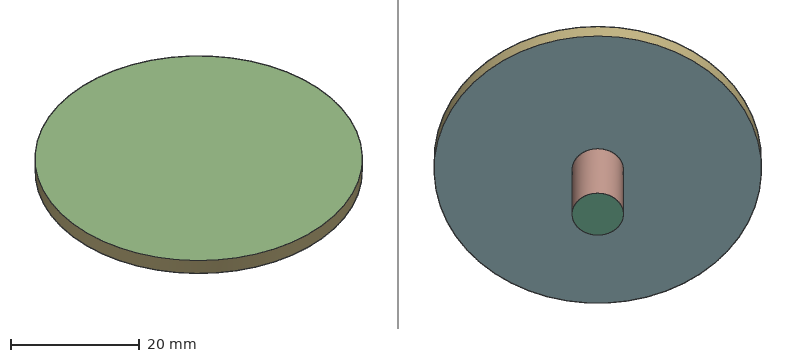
import cadquery as cq

disc_diameter = 50.8
disc_thickness = 2.6
stem_diameter = 8.0
total_height = 14.55

stem_length = total_height - disc_thickness

stem = cq.Workplane("XY").circle(stem_diameter / 2).extrude(stem_length)

disc = (
    cq.Workplane("XY")
    .workplane(offset=stem_length)
    .circle(disc_diameter / 2)
    .extrude(disc_thickness)
)

result = stem.union(disc)